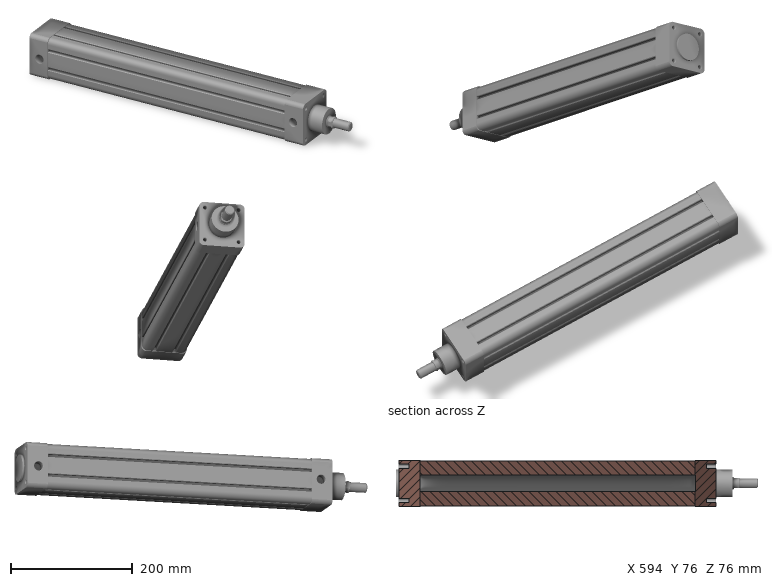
import cadquery as cq
import math


total_length = 594.0
rear_boss_length = 4.0
cap_length = 35.0
tube_length = 451.5
front_boss_length = 27.0
rear_cap_start = rear_boss_length
tube_start = rear_cap_start + cap_length
front_cap_start = tube_start + tube_length
front_cap_end = front_cap_start + cap_length

cap_width = 76.0
cap_corner = 6.5
cap_corner_radius = 8.5
boss_diameter = 45.0
screw_spacing = 56.5
screw_hole_diameter = 6.0
screw_hole_chamfer = 0.8
screw_hole_depth = 16.0
port_diameter = 15.0
port_chamfer = 0.5
port_depth = 16.0
port_inset = 19.3
port_offset = 2.3

tube_width = 74.5
tube_corner_radius = 9.5
bore_diameter = 63.0
slot_width = 4.8
slot_chamfer = 0.9
slot_depth = 6.5
slot_offset = 16.5

rod_diameter = 20.0
rod_chamfer = 1.0
neck_diameter = rod_diameter - 2 * rod_chamfer
neck_length = 6.3
collar_length = 3.0
thread_diameter = 16.0
thread_length = 30.0
thread_chamfer = 1.5
across_flats = 16.4
thread_start = total_length - thread_length
collar_start = thread_start - collar_length
neck_start = collar_start - neck_length


def section(x):
    """Workplane across the cylinder at x, with local axes along Y and Z."""
    return cq.Workplane("YZ", origin=(x, 0, 0))


def cylinder(x, diameter, length):
    return section(x).circle(diameter / 2).extrude(length)


def cap_block(x):
    """Square block whose corners are shallow arcs that meet the flats at an angle."""
    half = cap_width / 2
    near = half - cap_corner
    half_chord = cap_corner / math.sqrt(2)
    sagitta = cap_corner_radius - math.sqrt(cap_corner_radius**2 - half_chord**2)
    outline = section(x).moveTo(half, -near)
    for side in range(4):
        cos = round(math.cos(side * math.pi / 2))
        sin = round(math.sin(side * math.pi / 2))
        outline = outline.lineTo(half * cos - near * sin, half * sin + near * cos)
        outline = outline.sagittaArc((near * cos - half * sin, near * sin + half * cos), -sagitta)
    return outline.close().extrude(cap_length)


def hole_cutter(plane, diameter, depth, chamfer):
    """Blind hole with a chamfered mouth, going from the plane along its normal."""
    mouth = plane.circle(diameter / 2 + chamfer).workplane(offset=chamfer).circle(diameter / 2).loft()
    return mouth.union(plane.circle(diameter / 2).extrude(depth))


def screw_holes(face_x, inward):
    """Four blind screw holes going into a cap end face, inward being +1 or -1 along X."""
    holes = cq.Workplane()
    for y in (-screw_spacing / 2, screw_spacing / 2):
        for z in (-screw_spacing / 2, screw_spacing / 2):
            plane = cq.Workplane(cq.Plane((face_x, y, z), (0, 1, 0), (inward, 0, 0)))
            holes = holes.add(hole_cutter(plane, screw_hole_diameter, screw_hole_depth, screw_hole_chamfer))
    return holes.combine()


def port(x, z):
    """Blind air port going in from the -Y face of a cap."""
    plane = cq.Workplane(cq.Plane((x, -cap_width / 2, z), (1, 0, 0), (0, 1, 0)))
    return hole_cutter(plane, port_diameter, port_depth, port_chamfer)


def make_rear_cap():
    cap = cap_block(rear_cap_start).union(cylinder(0, boss_diameter, rear_cap_start))
    cap = cap.cut(screw_holes(rear_cap_start, 1))
    return cap.cut(port(rear_cap_start + port_inset, -port_offset))


def make_front_cap():
    cap = cap_block(front_cap_start).union(cylinder(front_cap_end, boss_diameter, front_boss_length))
    cap = cap.cut(screw_holes(front_cap_end, -1))
    cap = cap.cut(port(front_cap_end - port_inset, port_offset))
    return cap.cut(cylinder(front_cap_start, rod_diameter, cap_length + front_boss_length))


def tube_slot(offset):
    """Lengthwise slot with chamfered lips in the +Z face of the tube, centred at Y = offset."""
    top = tube_width / 2
    half_width = slot_width / 2
    half_mouth = half_width + slot_chamfer
    outline = section(tube_start).center(offset, top).polyline([
        (-half_mouth, 0),
        (-half_width, -slot_chamfer),
        (-half_width, -slot_depth),
        (half_width, -slot_depth),
        (half_width, -slot_chamfer),
        (half_mouth, 0),
    ])
    return outline.close().extrude(tube_length)


def make_tube():
    tube = section(tube_start).rect(tube_width, tube_width).extrude(tube_length)
    tube = tube.edges("|X").fillet(tube_corner_radius)
    slots = tube_slot(slot_offset).union(tube_slot(-slot_offset))
    for side in range(4):
        tube = tube.cut(slots.rotate((0, 0, 0), (1, 0, 0), 90 * side))
    return tube.cut(cylinder(tube_start, bore_diameter, tube_length))


def wrench_flats():
    """Two blocks that leave flats facing -Y and +Y on the neck and collar."""
    length = thread_start - neck_start
    around = section(neck_start).rect(2 * rod_diameter, 2 * rod_diameter).extrude(length)
    kept = section(neck_start).rect(across_flats, 2 * rod_diameter).extrude(length)
    return around.cut(kept)


def make_rod():
    rod = cylinder(front_cap_start, rod_diameter, neck_start - front_cap_start)
    rod = rod.faces(">X").chamfer(rod_chamfer)
    neck = cylinder(neck_start, neck_diameter, neck_length)
    collar = cylinder(collar_start, rod_diameter, collar_length).faces(">X").chamfer(rod_chamfer)
    thread = cylinder(thread_start, thread_diameter, thread_length).faces(">X").chamfer(thread_chamfer)
    return rod.union(neck).union(collar).union(thread).cut(wrench_flats())


rear_cap = make_rear_cap()
tube = make_tube()
front_cap = make_front_cap()
rod = make_rod()

result = cq.Compound.makeCompound([rear_cap.val(), tube.val(), front_cap.val(), rod.val()])